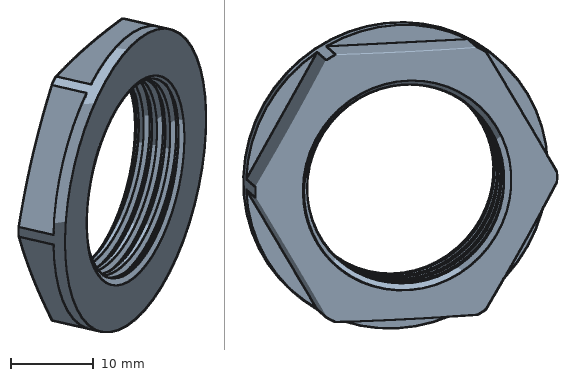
import cadquery as cq
import math

outer_diameter = 37.45
height = 6.7
flange_thickness = 1.57
across_flats = 33.05

face_diameter = 32.77
corner_drop = 0.37
edge_radius = 0.15

bore_diameter = 24.35
mouth_diameter = 25.88
mouth_depth = 0.45
thread_pitch = 1.8
thread_depth = 0.75
groove_mouth = 1.35
groove_floor = 0.3
groove_overlap = 0.2
bore_overrun = 1.87
thread_start_angle = 20.0

front_x = -height / 2
flange_x = height / 2 - flange_thickness
outer_radius = outer_diameter / 2


def disc(start_x, diameter, length):
    return cq.Workplane("YZ", origin=(start_x, 0, 0)).circle(diameter / 2).extrude(length)


def hexagon_head():
    """Hexagon with flats at +Z and -Z, its corners trimmed to the flange diameter."""
    across_corners = across_flats / math.cos(math.pi / 6)
    hexagon = cq.Workplane("YZ", origin=(front_x, 0, 0)).polygon(6, across_corners).extrude(height)
    turned_blank = (
        cq.Workplane("XY")
        .moveTo(front_x, 0)
        .lineTo(front_x, face_diameter / 2)
        .lineTo(front_x + corner_drop, outer_radius)
        .lineTo(height / 2, outer_radius)
        .lineTo(height / 2, 0)
        .close()
        .revolve(360, (0, 0, 0), (1, 0, 0))
    )
    head = hexagon.intersect(turned_blank)
    cone_edges = head.faces("%CONE").edges("%HYPERBOLA")
    return cone_edges.fillet(edge_radius)


def mouth_chamfer(face_x, inward):
    """Tapered lead-in of the bore; inward is +1 or -1 along X, pointing into the nut."""
    return (
        cq.Workplane("YZ", origin=(face_x, 0, 0))
        .circle(mouth_diameter / 2)
        .workplane(offset=inward * mouth_depth)
        .circle(bore_diameter / 2)
        .loft()
    )


def thread_groove():
    """Helical groove of trapezoidal section, running out past both ends of the bore."""
    bore_radius = bore_diameter / 2
    helix_length = height + 2 * thread_pitch
    helix = cq.Wire.makeHelix(thread_pitch, helix_length, bore_radius)
    groove = (
        cq.Workplane("XZ")
        .polyline([
            (bore_radius - groove_overlap, -groove_mouth / 2),
            (bore_radius + thread_depth, -groove_floor / 2),
            (bore_radius + thread_depth, groove_floor / 2),
            (bore_radius - groove_overlap, groove_mouth / 2),
        ])
        .close()
        .sweep(cq.Workplane(obj=helix), isFrenet=True)
    )
    along_x = groove.translate((0, 0, -helix_length / 2)).rotate((0, 0, 0), (0, 1, 0), 90)
    return along_x.rotate((0, 0, 0), (1, 0, 0), thread_start_angle)


flange = disc(flange_x, outer_diameter, flange_thickness)
body = hexagon_head().union(flange)
grooved = body.cut(thread_groove())
bore = disc(front_x - bore_overrun, bore_diameter, height + 2 * bore_overrun)
result = grooved.cut(bore).cut(mouth_chamfer(front_x, 1)).cut(mouth_chamfer(-front_x, -1))